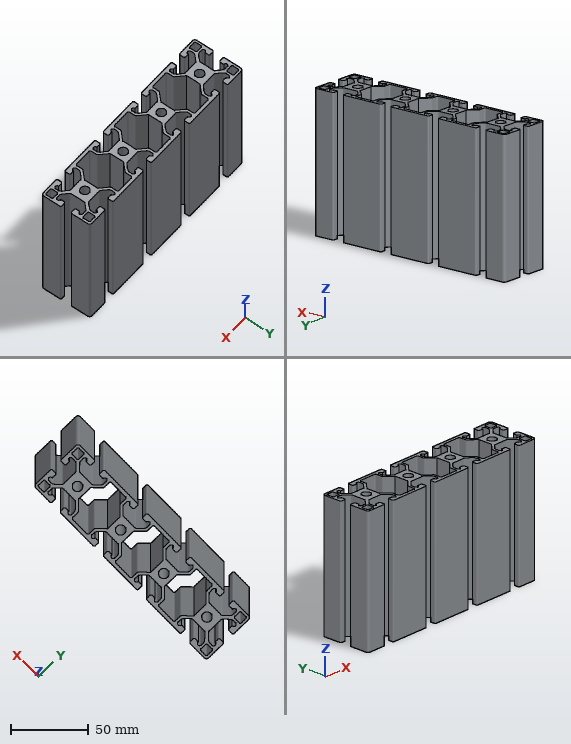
import cadquery as cq

module = 40.0
module_count = 4
width = module * module_count
depth = module
length = 100.0
outer_corner_radius = 2.0

bore_diameter = 6.8

mouth_half_width = 4.0
lip_radius = 1.0
lip_depth = 4.6
recess_inner = 7.8
recess_outer = 10.6
recess_depth = 3.0
recess_wall_end_depth = 7.6
recess_bend_radius = 3.0
floor_half_width = 5.9
floor_depth = 12.4
floor_corner_radius = 1.5

chamber_half_width = 7.5
chamber_half_height = 17.4
chamber_core_half = 6.5
chamber_core_side_half = 5.5
chamber_corner_radius = 1.0
chamber_shoulder_radius = 1.5

tube_wall = 1.8
tube_side = 5.9
tube_corner_radius = 0.8

diagonal_ratio = 0.5**0.5


def slot_half():
    """Half of a T-slot: the face is at y = 0 and the slot runs towards -y."""
    recess_radius = (recess_outer - recess_inner) / 2
    recess_middle = recess_inner + recess_radius
    recess_spring = recess_depth + recess_radius
    lip_edge = mouth_half_width + lip_radius
    arc_offset = lip_radius * (1 - diagonal_ratio)
    arc_x = mouth_half_width + arc_offset

    half = (
        cq.Workplane("XY")
        .moveTo(0, 0)
        .lineTo(lip_edge, 0)
        .threePointArc((arc_x, -arc_offset), (mouth_half_width, -lip_radius))
        .lineTo(mouth_half_width, lip_radius - lip_depth)
        .threePointArc((arc_x, arc_offset - lip_depth), (lip_edge, -lip_depth))
        .lineTo(recess_inner, -lip_depth)
        .lineTo(recess_inner, -recess_spring)
        .threePointArc((recess_middle, -recess_depth), (recess_outer, -recess_spring))
        .lineTo(recess_outer, -recess_wall_end_depth)
        .lineTo(floor_half_width, -floor_depth)
        .lineTo(0, -floor_depth)
        .close()
        .extrude(length)
    )
    bend = cq.NearestToPointSelector((recess_outer, -recess_wall_end_depth, length / 2))
    floor_corner = cq.NearestToPointSelector((floor_half_width, -floor_depth, length / 2))
    half = half.edges(bend).fillet(recess_bend_radius)
    return half.edges(floor_corner).fillet(floor_corner_radius)


def slot_cutter(x, y, angle):
    """Whole T-slot with its mouth centred at (x, y), turned about Z."""
    half = slot_half()
    whole = half.union(half.mirror("YZ"))
    return whole.rotate((0, 0, 0), (0, 0, 1), angle).translate((x, y, 0))


def chamber_cutter(x):
    """Eight-sided hollow between two cores, centred at x."""
    waist = module / 2 - chamber_core_half
    shoulder = chamber_core_side_half + waist - chamber_half_width
    quarter = [
        (waist, chamber_core_side_half),
        (chamber_half_width, shoulder),
        (chamber_half_width, chamber_half_height),
    ]
    right = [(px, -py) for px, py in reversed(quarter)] + quarter
    left = [(-px, -py) for px, py in right]
    chamber = cq.Workplane("XY").polyline(right + left).close().extrude(length)
    for px in (-chamber_half_width, chamber_half_width):
        for py in (-shoulder, shoulder):
            edge = cq.NearestToPointSelector((px, py, length / 2))
            chamber = chamber.edges(edge).fillet(chamber_shoulder_radius)
    corners = chamber.faces(">Y or <Y").edges("|Z")
    return corners.fillet(chamber_corner_radius).translate((x, 0, 0))


def corner_tubes():
    """Four square hollows, one behind each outer corner."""
    inset = tube_wall + tube_side / 2
    return (
        cq.Workplane("XY")
        .rect(width - 2 * inset, depth - 2 * inset, forConstruction=True)
        .vertices()
        .rect(tube_side, tube_side)
        .extrude(length)
        .edges("|Z")
        .fillet(tube_corner_radius)
    )


core_positions = [(i - (module_count - 1) / 2) * module for i in range(module_count)]

result = cq.Workplane("XY").rect(width, depth).extrude(length)
result = result.edges("|Z").fillet(outer_corner_radius)

for core_x in core_positions:
    result = result.cut(slot_cutter(core_x, depth / 2, 0))
    result = result.cut(slot_cutter(core_x, -depth / 2, 180))

result = result.cut(slot_cutter(-width / 2, 0, 90))
result = result.cut(slot_cutter(width / 2, 0, -90))

for core_x in core_positions[:-1]:
    result = result.cut(chamber_cutter(core_x + module / 2))
result = result.cut(corner_tubes())

bores = cq.Workplane("XY").pushPoints([(x, 0) for x in core_positions])
result = result.cut(bores.circle(bore_diameter / 2).extrude(length))